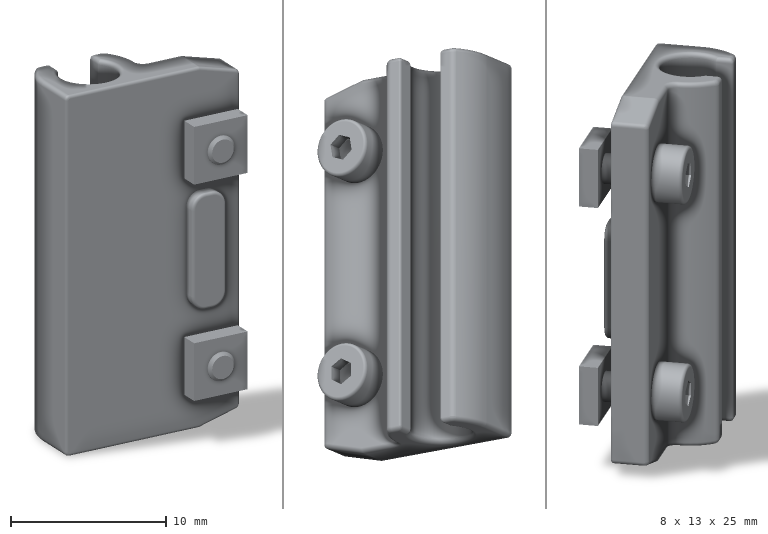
import cadquery as cq
import math

LENGTH = 25.0
WIDTH = 13.0
DEPTH = 5.5
PLATE_THICKNESS = 2.5
EDGE_RADIUS = 0.3
BACK_EDGE_RADIUS = 0.2

BORE_RADIUS = 2.0
CLIP_RADIUS = 3.5
CLIP_X = -3.05
CLIP_Y = CLIP_RADIUS
MOUTH_WIDTH = 3.0
LIP_OUTER_RADIUS = 0.5
LIP_INNER_RADIUS = 0.15
ROOT_RADIUS = -PLATE_THICKNESS - CLIP_X

TAPER_WIDTH = 3.0
TAPER_ANGLE = 15.0
TAPER_DROP = TAPER_WIDTH * math.tan(math.radians(TAPER_ANGLE))
TAPER_BEND_Y = WIDTH - TAPER_WIDTH

SCREW_Y = 10.25
SCREW_HEIGHTS = (-7.5, 7.5)
SOCKET_TURNS = (0.0, -10.0)
HEAD_DIAMETER = 3.8
HEAD_HEIGHT = 2.0
SHANK_DIAMETER = 2.0
SHANK_END_X = 2.5
EDGE_BREAK = 0.2
SOCKET_SIDES = 6
SOCKET_ACROSS_FLATS = 1.5
SOCKET_DEPTH = 1.0
SOCKET_CONE_DEPTH = 0.38
NUT_SIZE = 4.0
NUT_THICKNESS = 1.25
NUT_X = 1.0

KEY_LENGTH = 8.0
KEY_WIDTH = 2.5
KEY_HEIGHT = 0.8
KEY_CORNER_RADIUS = 1.0

TOLERANCE = 0.002


def clip_profile():
    """Closed outline of plate and clip arms, with the tube seat left open."""
    lip_rise = math.sqrt(CLIP_RADIUS**2 - (DEPTH + CLIP_X)**2)
    mouth_half = MOUTH_WIDTH / 2
    mouth_x = CLIP_X - math.sqrt(BORE_RADIUS**2 - mouth_half**2)
    half_lip_angle = (math.pi / 2 + math.atan2(lip_rise, -DEPTH - CLIP_X)) / 2
    arc_x = CLIP_X + CLIP_RADIUS * math.cos(half_lip_angle)
    arc_rise = CLIP_RADIUS * math.sin(half_lip_angle)
    root_y = CLIP_Y + CLIP_RADIUS + ROOT_RADIUS
    root_mid = ROOT_RADIUS * math.sqrt(0.5)
    return (
        cq.Workplane("XY")
        .moveTo(0, 0)
        .lineTo(0, WIDTH)
        .lineTo(-PLATE_THICKNESS, WIDTH)
        .lineTo(-PLATE_THICKNESS, root_y)
        .threePointArc(
            (-PLATE_THICKNESS - ROOT_RADIUS + root_mid, root_y - root_mid),
            (CLIP_X, CLIP_Y + CLIP_RADIUS),
        )
        .threePointArc((arc_x, CLIP_Y + arc_rise), (-DEPTH, CLIP_Y + lip_rise))
        .lineTo(-DEPTH, CLIP_Y + mouth_half)
        .lineTo(mouth_x, CLIP_Y + mouth_half)
        .threePointArc((CLIP_X + BORE_RADIUS, CLIP_Y), (mouth_x, CLIP_Y - mouth_half))
        .lineTo(-DEPTH, CLIP_Y - mouth_half)
        .lineTo(-DEPTH, CLIP_Y - lip_rise)
        .threePointArc((arc_x, CLIP_Y - arc_rise), (CLIP_X, 0))
        .close()
    )


def flange_taper(side):
    """Wedge removed from the flange at the upper (1) or lower (-1) end."""
    end_z = side * LENGTH / 2
    return (
        cq.Workplane("YZ")
        .moveTo(TAPER_BEND_Y, end_z)
        .lineTo(WIDTH, end_z)
        .lineTo(WIDTH, end_z - side * TAPER_DROP)
        .close()
        .extrude(-PLATE_THICKNESS)
    )


def is_outer_lip_corner(edge):
    middle = edge.Center()
    at_front = abs(middle.x + DEPTH) < TOLERANCE
    return at_front and abs(middle.y - CLIP_Y) > MOUTH_WIDTH / 2 + TOLERANCE


def is_inner_lip_corner(edge):
    middle = edge.Center()
    at_front = abs(middle.x + DEPTH) < TOLERANCE
    return at_front and abs(middle.y - CLIP_Y) < MOUTH_WIDTH / 2 + TOLERANCE


def is_taper_bend(edge):
    return abs(edge.Center().y - TAPER_BEND_Y) < TOLERANCE


def is_end_rim(edge):
    """True for edges around the two ends, except the taper bends and the back face."""
    middle = edge.Center()
    mid_plate = abs(middle.x + PLATE_THICKNESS / 2) < TOLERANCE
    along_bend = mid_plate and abs(middle.y - TAPER_BEND_Y) < EDGE_RADIUS
    at_end = abs(middle.z) > LENGTH / 2 - TAPER_DROP - TOLERANCE
    return at_end and middle.x < -TOLERANCE and not along_bend


def is_flange_corner(edge):
    middle = edge.Center()
    return abs(middle.x + PLATE_THICKNESS) < TOLERANCE and abs(middle.y - WIDTH) < TOLERANCE


def clip_body():
    block = clip_profile().extrude(LENGTH / 2, both=True)
    for side in (1, -1):
        block = block.cut(flange_taper(side))
    block = block.edges("|Z").filter(is_outer_lip_corner).fillet(LIP_OUTER_RADIUS)
    block = block.edges("|Z").filter(is_inner_lip_corner).fillet(LIP_INNER_RADIUS)
    block = block.edges("|X").filter(is_taper_bend).fillet(EDGE_RADIUS)
    block = block.edges("|Z").filter(is_flange_corner).fillet(EDGE_RADIUS)
    block = block.edges("not |Z").filter(is_end_rim).fillet(EDGE_RADIUS)
    return block.faces(">X").edges().fillet(BACK_EDGE_RADIUS)


def locating_key():
    return (
        cq.Workplane("YZ", origin=(-BACK_EDGE_RADIUS, SCREW_Y, 0))
        .rect(KEY_WIDTH, KEY_LENGTH)
        .extrude(BACK_EDGE_RADIUS + KEY_HEIGHT)
        .edges("|X")
        .fillet(KEY_CORNER_RADIUS)
        .faces(">X")
        .edges()
        .fillet(EDGE_BREAK)
    )


def screw_with_nut(height, socket_turn):
    """Socket-head screw with a square nut; the socket is turned about its axis."""
    head_face_x = -PLATE_THICKNESS - HEAD_HEIGHT
    head_plane = cq.Workplane("YZ", origin=(head_face_x, SCREW_Y, height))
    head = head_plane.circle(HEAD_DIAMETER / 2).extrude(HEAD_HEIGHT)
    head = head.faces("<X").edges().fillet(EDGE_BREAK)
    shank = head_plane.circle(SHANK_DIAMETER / 2).extrude(SHANK_END_X - head_face_x)
    shank = shank.faces(">X").edges().chamfer(EDGE_BREAK)
    nut = (
        cq.Workplane("YZ", origin=(NUT_X, SCREW_Y, height))
        .rect(NUT_SIZE, NUT_SIZE)
        .extrude(NUT_THICKNESS)
    )
    corner_radius = SOCKET_ACROSS_FLATS / 2 / math.cos(math.pi / SOCKET_SIDES)
    socket = (
        head_plane.transformed(rotate=(0, 0, 90 + socket_turn))
        .polygon(SOCKET_SIDES, 2 * corner_radius)
        .extrude(SOCKET_DEPTH)
    )
    drill_point = cq.Workplane(
        cq.Solid.makeCone(
            SOCKET_ACROSS_FLATS / 2,
            0,
            SOCKET_CONE_DEPTH,
            pnt=cq.Vector(head_face_x + SOCKET_DEPTH, SCREW_Y, height),
            dir=cq.Vector(1, 0, 0),
        )
    )
    return head.union(shank).union(nut).cut(socket).cut(drill_point)


result = clip_body().union(locating_key())
for screw_height, turn in zip(SCREW_HEIGHTS, SOCKET_TURNS):
    result = result.union(screw_with_nut(screw_height, turn))